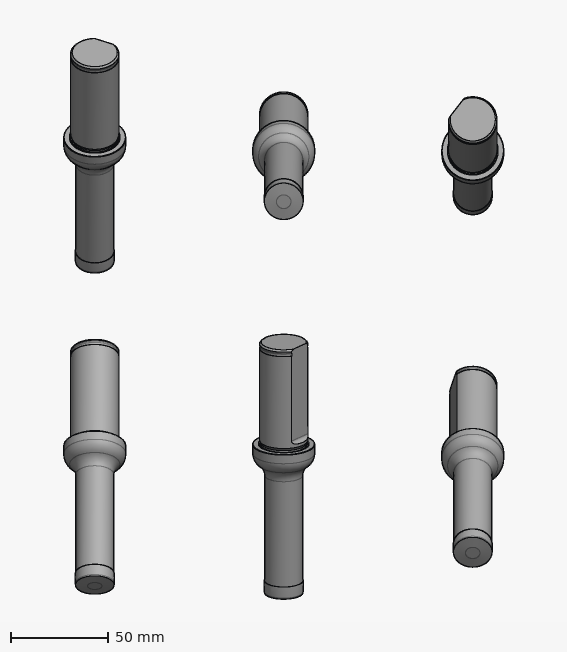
import cadquery as cq
import math

total_length = 138.0

stem_radius = 19.7 / 2
collar_radius = 32.0 / 2
shank_radius = 25.0 / 2
head_length = 7.3
flare_bottom = 65.0
flare_top = 77.1
collar_top = 82.1
collar_chamfer = 0.3

undercut_top = 84.2
undercut_taper = 0.7
undercut_shoulder_radius = 12.1
undercut_neck_height = 0.7
undercut_radius = 11.9
undercut_depth = 0.3
undercut_mouth_radius = 13.1

groove_radius = 24.5 / 2
groove_bottom = 134.5
groove_top = 135.8
groove_flank = 0.7
end_chamfer_height = 1.0
end_face_radius = 11.6

flat_offset = 10.4
flat_bottom = 85.8
flat_end_radius = shank_radius - flat_offset

head_edge_radius = 10.1
head_middle_radius = 10.2
head_rim_radius = 10.0
rim_top = 1.2
rim_bottom = 0.5
tip_radius = 3.7


def make_holder():
    flare_height = flare_top - flare_bottom
    flare_width = collar_radius - stem_radius
    sweep = 2 * math.atan2(flare_width, flare_height)
    flare_radius = flare_height / (2 * math.sin(sweep))
    arc_mid_in = flare_radius * (1 - math.cos(sweep / 2))
    arc_mid_rise = flare_radius * math.sin(sweep / 2)

    body = (
        cq.Workplane("XZ")
        .moveTo(0, head_length)
        .lineTo(stem_radius, head_length)
        .lineTo(stem_radius, flare_bottom)
        .threePointArc(
            (stem_radius + arc_mid_in, flare_bottom + arc_mid_rise),
            ((stem_radius + collar_radius) / 2, (flare_bottom + flare_top) / 2),
        )
        .threePointArc(
            (collar_radius - arc_mid_in, flare_top - arc_mid_rise),
            (collar_radius, flare_top),
        )
        .lineTo(collar_radius, collar_top - collar_chamfer)
        .lineTo(collar_radius - collar_chamfer, collar_top)
        .lineTo(undercut_mouth_radius, collar_top)
        .lineTo(shank_radius, collar_top - undercut_depth)
        .lineTo(undercut_radius, collar_top - undercut_depth)
        .lineTo(undercut_radius, collar_top + undercut_neck_height)
        .lineTo(undercut_shoulder_radius, undercut_top - undercut_taper)
        .lineTo(shank_radius, undercut_top)
        .lineTo(shank_radius, groove_bottom)
        .lineTo(groove_radius, groove_bottom)
        .lineTo(groove_radius, groove_top)
        .lineTo(shank_radius, groove_top + groove_flank)
        .lineTo(shank_radius, total_length - end_chamfer_height)
        .lineTo(end_face_radius, total_length)
        .lineTo(0, total_length)
        .close()
        .revolve(360, (0, 0, 0), (0, 1, 0))
    )
    return body.cut(make_flat_cutter())


def make_flat_cutter():
    arc_y = flat_offset + flat_end_radius
    arc_z = flat_bottom + flat_end_radius
    arc_mid = flat_end_radius * math.sqrt(0.5)
    return (
        cq.Workplane("YZ")
        .moveTo(collar_radius, flat_bottom)
        .lineTo(arc_y, flat_bottom)
        .threePointArc((arc_y - arc_mid, arc_z - arc_mid), (flat_offset, arc_z))
        .lineTo(flat_offset, total_length)
        .lineTo(collar_radius, total_length)
        .close()
        .extrude(collar_radius, both=True)
    )


def make_head():
    return (
        cq.Workplane("XZ")
        .lineTo(tip_radius, 0)
        .lineTo(head_rim_radius, rim_bottom)
        .lineTo(head_edge_radius, rim_top)
        .threePointArc(
            (head_middle_radius, (rim_top + head_length) / 2),
            (head_edge_radius, head_length),
        )
        .lineTo(0, head_length)
        .close()
        .revolve(360, (0, 0, 0), (0, 1, 0))
    )


holder = make_holder()
head = make_head()

result = cq.Compound.makeCompound([holder.val(), head.val()])